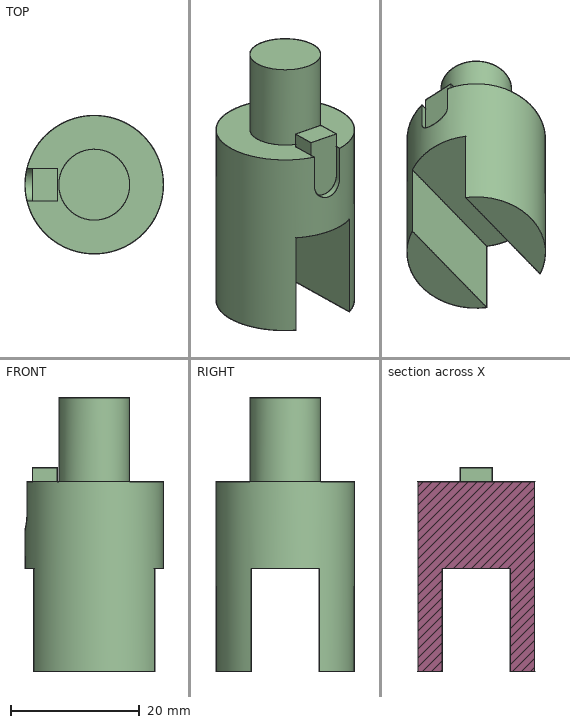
import cadquery as cq

total_height = 42.5
housing_diameter = 21.5
housing_height = 29.5
shaft_diameter = 11.0
fork_gap = 10.5
fork_depth = 16.0
key_width = 5.0
key_length = 9.7
key_top = 31.65
key_outer_x = -9.6
key_inner_x = -5.75

housing_radius = housing_diameter / 2
shaft_length = total_height - housing_height
key_radius = key_width / 2
key_arc_center_z = key_top - key_length + key_radius
key_thickness = key_inner_x - key_outer_x


def key_prism(outer_x, thickness, top_z):
    """Square-topped, round-bottomed prism running from outer_x toward +X."""
    return (
        cq.Workplane("YZ", origin=(outer_x, 0, 0))
        .moveTo(-key_radius, top_z)
        .lineTo(-key_radius, key_arc_center_z)
        .threePointArc((0, key_arc_center_z - key_radius), (key_radius, key_arc_center_z))
        .lineTo(key_radius, top_z)
        .close()
        .extrude(thickness)
    )


def make_housing():
    """Cylinder with a fork slot along X below and an open keyway at -X above."""
    body = cq.Workplane("XY").circle(housing_radius).extrude(housing_height)
    fork_slot = (
        cq.Workplane("XY")
        .rect(housing_diameter, fork_gap)
        .extrude(fork_depth)
    )
    keyway = key_prism(-housing_radius, key_inner_x + housing_radius, housing_height)
    return body.cut(fork_slot).cut(keyway)


def make_shaft():
    """Round shaft standing on the top face of the housing."""
    return (
        cq.Workplane("XY", origin=(0, 0, housing_height))
        .circle(shaft_diameter / 2)
        .extrude(shaft_length)
    )


def make_key():
    """Key seated in the keyway, standing proud of the housing's top face."""
    return key_prism(key_outer_x, key_thickness, key_top)


housing = make_housing()
shaft = make_shaft()
key = make_key()

result = cq.Compound.makeCompound([housing.val(), shaft.val(), key.val()])